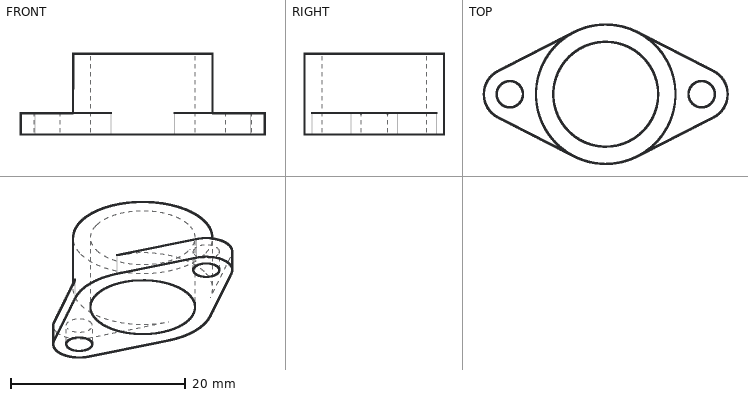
import cadquery as cq
import math

length = 28.0
height = 9.3
collar_diameter = 16.0
bore_diameter = 12.0
flange_thickness = 2.5
ear_radius = 3.0
bolt_hole_diameter = 3.0

collar_radius = collar_diameter / 2
hole_offset = length / 2 - ear_radius

tangent_cos = (collar_radius - ear_radius) / hole_offset
tangent_sin = math.sqrt(1 - tangent_cos**2)
collar_x = collar_radius * tangent_cos
collar_y = collar_radius * tangent_sin
ear_x = hole_offset + ear_radius * tangent_cos
ear_y = ear_radius * tangent_sin


def make_flange():
    """Two-eared plate with straight tangent sides; the collar rounds out its middle."""
    return (
        cq.Workplane("XY")
        .moveTo(collar_x, collar_y)
        .lineTo(ear_x, ear_y)
        .threePointArc((length / 2, 0), (ear_x, -ear_y))
        .lineTo(collar_x, -collar_y)
        .lineTo(-collar_x, -collar_y)
        .lineTo(-ear_x, -ear_y)
        .threePointArc((-length / 2, 0), (-ear_x, ear_y))
        .lineTo(-collar_x, collar_y)
        .close()
        .extrude(flange_thickness)
    )


def make_cylinder(diameter, depth):
    """Upright cylinder standing on the base plane."""
    return cq.Workplane("XY").circle(diameter / 2).extrude(depth)


collar = make_cylinder(collar_diameter, height)
bore = make_cylinder(bore_diameter, height)
result = make_flange().union(collar).cut(bore)

for hole_x in (-hole_offset, hole_offset):
    bolt_hole = make_cylinder(bolt_hole_diameter, flange_thickness)
    result = result.cut(bolt_hole.translate((hole_x, 0, 0)))